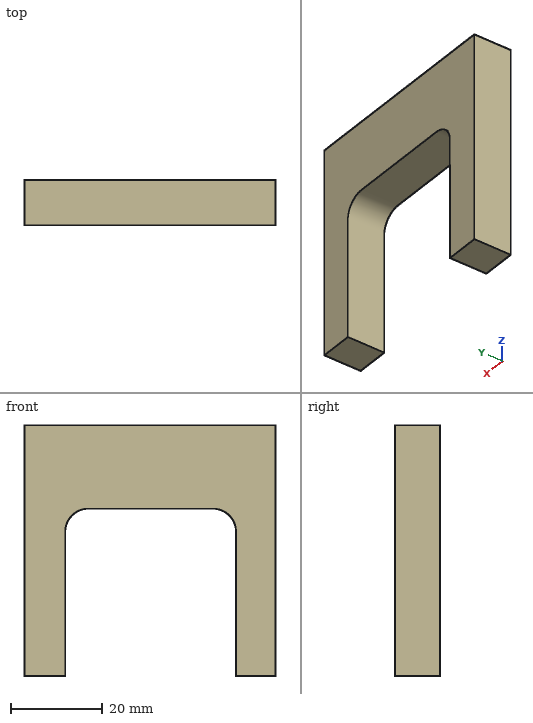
import cadquery as cq

width = 55.15
depth = 10.0
height = 55.1

left_leg_width = 9.0
right_leg_width = 8.7
bridge_height = 18.35
corner_radius = 5.0

opening_width = width - left_leg_width - right_leg_width
opening_height = height - bridge_height
opening_center_x = (left_leg_width - right_leg_width) / 2

block = cq.Workplane("XY").box(width, depth, height, centered=(True, True, False))

opening = (
    cq.Workplane("XY")
    .center(opening_center_x, 0)
    .box(opening_width, depth, opening_height, centered=(True, True, False))
    .edges("|Y and >Z")
    .fillet(corner_radius)
)

result = block.cut(opening)